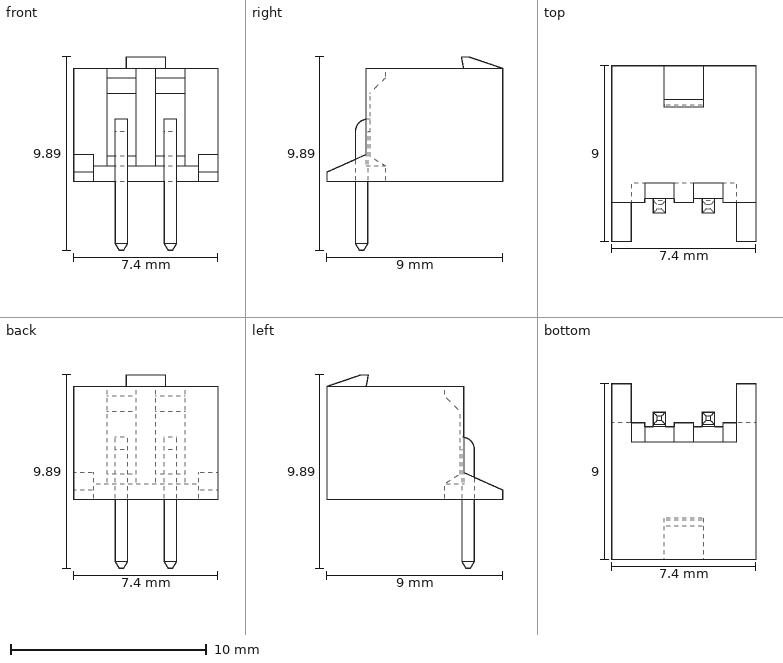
import cadquery as cq

body_width = 7.4
body_depth = 7.0
body_height = 5.8

foot_width = 1.02
foot_length = 2.0
foot_root_height = 1.38
foot_tip_height = 0.49

latch_width = 2.02
latch_height = 0.58
latch_base_length = 2.02
latch_crest_start = 1.72
latch_crest_end = 2.13

pin_pitch = 2.5
pin_positions = (-pin_pitch / 2, pin_pitch / 2)
recess_width = 1.49
recess_upper_depth = 0.99
recess_wall_depth = 0.2
upper_slope_top = body_height - 0.49
upper_slope_bottom = body_height - 1.28
wall_bottom = 1.31

clearance_height = 0.8
clearance_depth = recess_upper_depth

pin_size = 0.64
pin_front = -0.54
pin_back = pin_front + pin_size
pin_top = 3.2
pin_bottom = -3.51
pin_embed_end = 1.48
pin_taper_length = 0.34
pin_tip_size = 0.24


def extrude_side_profile(profile, width, center_x):
    """Extrude a closed YZ profile symmetrically along X about center_x."""
    return profile.extrude(width / 2, both=True).translate((center_x, 0, 0))


def make_foot(center_x):
    profile = cq.Workplane("YZ").polyline([
        (0, 0),
        (-foot_length, 0),
        (-foot_length, foot_tip_height),
        (0, foot_root_height),
    ]).close()
    return extrude_side_profile(profile, foot_width, center_x)


def make_latch():
    profile = cq.Workplane("YZ").polyline([
        (body_depth, body_height),
        (body_depth - latch_crest_start, body_height + latch_height),
        (body_depth - latch_crest_end, body_height + latch_height),
        (body_depth - latch_base_length, body_height),
    ]).close()
    return extrude_side_profile(profile, latch_width, 0)


def make_recess(center_x):
    profile = cq.Workplane("YZ").polyline([
        (0, body_height),
        (recess_upper_depth, body_height),
        (recess_upper_depth, upper_slope_top),
        (recess_wall_depth, upper_slope_bottom),
        (recess_wall_depth, wall_bottom),
        (clearance_depth, clearance_height),
        (0, clearance_height),
    ]).close()
    return extrude_side_profile(profile, recess_width, center_x)


def make_clearance():
    return cq.Workplane("XY").box(
        body_width - 2 * foot_width, clearance_depth, clearance_height, centered=(True, False, False)
    )


def make_pin(center_x):
    taper_top = pin_bottom + pin_taper_length
    profile = (
        cq.Workplane("YZ")
        .moveTo(pin_front, taper_top)
        .lineTo(pin_front, pin_top - pin_size)
        .radiusArc((pin_back, pin_top), pin_size)
        .lineTo(pin_embed_end, pin_top)
        .lineTo(pin_embed_end, pin_top - pin_size)
        .lineTo(pin_back, pin_top - pin_size)
        .lineTo(pin_back, taper_top)
        .close()
    )
    shank = extrude_side_profile(profile, pin_size, center_x)
    tip = (
        cq.Workplane("XY", origin=(center_x, (pin_front + pin_back) / 2, pin_bottom))
        .rect(pin_tip_size, pin_tip_size)
        .workplane(offset=pin_taper_length)
        .rect(pin_size, pin_size)
        .loft()
    )
    return shank.union(tip)


housing = cq.Workplane("XY").box(body_width, body_depth, body_height, centered=(True, False, False))
housing = housing.cut(make_clearance()).union(make_latch())

foot_offset = (body_width - foot_width) / 2
for foot_x in (-foot_offset, foot_offset):
    housing = housing.union(make_foot(foot_x))

for pin_x in pin_positions:
    housing = housing.cut(make_recess(pin_x)).union(make_pin(pin_x))

result = housing